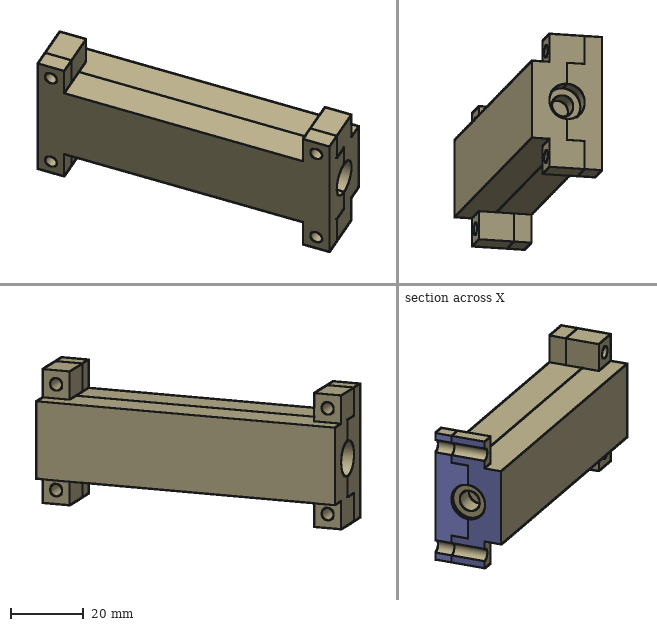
import cadquery as cq

length = 88.0
thickness = 20.0
height = 38.0
ear_size = 8.0
body_height = height - 2 * ear_size
half_thickness = thickness / 2
quarter_thickness = thickness / 4

screw_diameter = 3.5
screw_x = length / 2 - ear_size / 2
screw_z = height / 2 - ear_size / 2

bore_diameter = 10.0
rod_inset = 5.0
rod_length = length - 2 * rod_inset
rod_hole_diameter = 6.0
rod_hole_depth = 6.0


def box_between(x_size, y_start, y_end, z_size):
    """Box centred on X and Z, running from y_start to y_end."""
    return cq.Workplane("XY").box(x_size, y_end - y_start, z_size).translate((0, (y_start + y_end) / 2, 0))


def ears(y_start, y_end):
    """Four corner ears, left by removing a cross from a full-height plate."""
    upright = box_between(length - 2 * ear_size, y_start, y_end, height)
    crossbar = box_between(length, y_start, y_end, body_height)
    return box_between(length, y_start, y_end, height).cut(upright).cut(crossbar)


def cylinder_along_x(diameter, x_start, x_end):
    """Cylinder on the bore axis, at mid thickness."""
    return (
        cq.Workplane("YZ", origin=(x_start, half_thickness, 0))
        .circle(diameter / 2)
        .extrude(x_end - x_start)
    )


def screw_holes():
    """Cutter for the screw holes, running along Y through the whole thickness."""
    return (
        cq.Workplane("XZ")
        .rect(2 * screw_x, 2 * screw_z, forConstruction=True)
        .vertices()
        .circle(screw_diameter / 2)
        .extrude(-thickness)
    )


def make_half(body_start, body_end, ear_start, ear_end):
    """Housing half: a full-length body with four ears, its screw holes and its share of the bore."""
    half = box_between(length, body_start, body_end, body_height)
    half = half.union(ears(ear_start, ear_end))
    half = half.cut(screw_holes())
    return half.cut(cylinder_along_x(bore_diameter, -length / 2, length / 2))


def make_rod():
    """Rod filling the bore between its open ends, with a blind hole in each end."""
    end = rod_length / 2
    rod = cylinder_along_x(bore_diameter, -end, end)
    rod = rod.cut(cylinder_along_x(rod_hole_diameter, -end, -end + rod_hole_depth))
    return rod.cut(cylinder_along_x(rod_hole_diameter, end - rod_hole_depth, end))


front_half = make_half(0, half_thickness, 0, quarter_thickness)
back_half = make_half(half_thickness, thickness, quarter_thickness, 3 * quarter_thickness)
rod = make_rod()

result = cq.Compound.makeCompound([front_half.val(), back_half.val(), rod.val()])